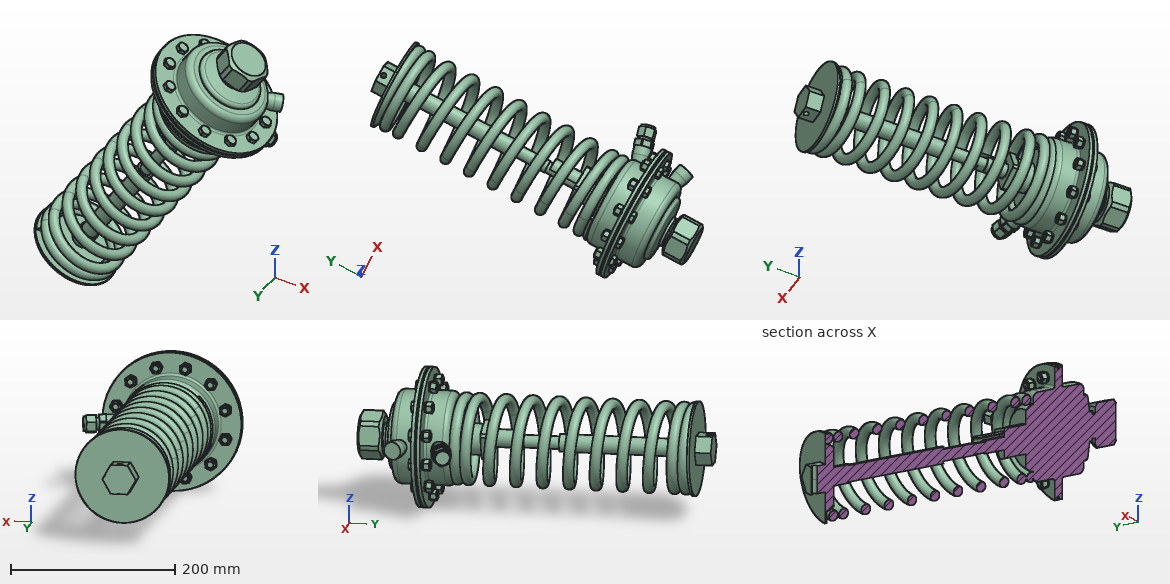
import cadquery as cq
import math


housing_dia = 116.0
housing_half_length = 36.5
housing_edge_radius = 8.0
flange_dia = 172.0
flange_thickness = 4.5
diaphragm_dia = 165.0
diaphragm_thickness = 2.0
flange_face = diaphragm_thickness / 2 + flange_thickness
flange_root_radius = 3.0

bolt_count = 12
bolt_circle_dia = 140.0
bolt_dia = 8.0
bolt_tip = 16.4
bolt_across_flats = 13.0
bolt_corner_dia = 15.0
bolt_end_dia = 12.6
bolt_chamfer = 0.8
bolt_head_height = 5.1
washer_dia = 12.0
washer_thickness = 2.0
bolt_nut_height = 7.7

hex_turn = 10.0
hex_sides = 6

cover_dia = 85.0
cover_edge_radius = 4.5
cover_shoulder = -42.5
collar_dia = 38.5
collar_start = -45.0
collar_end = -48.9
neck_dia = 32.0
union_nut_start = -52.3
union_nut_end = -82.58
union_nut_across_flats = 55.0
union_nut_corner_dia = 60.0
union_nut_end_dia = 48.0
union_nut_chamfer = 3.6

adjuster_top = 353.7
adjuster_length = 20.0
adjuster_across_flats = 36.0
pin_hole_dia = 6.5
pin_hole_depth_from_top = 5.7
plate_dia = 116.0
plate_thickness = 3.0
plate_top = adjuster_top - adjuster_length
plate_face = plate_top - plate_thickness
locating_disc_dia = 86.0
locating_disc_rim_height = 3.4
locating_disc_end_dia = 75.0
locating_disc_height = 10.5

stem_collar_dia = 24.5
stem_collar_end = 299.0
upper_stem_dia = 22.0
upper_stem_end = 164.0
middle_stem_dia = 16.0
middle_stem_end = 120.0
groove_dia = 14.5
groove_end = 105.0
lower_stem_dia = 17.4

guide_dia = 38.5
square_nut_sides = 4
square_nut_start = 69.0
square_nut_end = 77.4
square_nut_across_flats = 37.0
square_nut_corner_dia = 48.0
square_nut_corner_angle = 24.6
sleeve_dia = 22.0
sleeve_slot = 18.0
sleeve_end = 115.0
sleeve_offset_x = 2.5
sleeve_offset_z = 3.3

wire_dia = 13.5
coil_dia = 100.0
closed_pitch = 13.6
open_pitch = 32.9
spring_turns = 11.125
spring_start = 331.7
first_closed_turns = 1.5
last_open_turn = 9.1
blend_turns = 0.5
points_per_turn = 12
spring_pieces = 11

fitting_tilt = 15.0
fitting_axis_offset = 9.4
nipple_start = 45.0
socket_start = 68.8
socket_end = 79.6
nipple_root_dia = 14.5
socket_dia = 22.0
fitting_hex_end = 88.0
fitting_hex_across_flats = 22.0
fitting_hex_corner_dia = 24.5
tube_dia = 14.5
cap_start = 91.8
cap_hex_end = 104.2
cap_end = 107.04
cap_across_flats = 20.0
cap_corner_dia = 23.1
cap_hex_end_dia = 20.0
cap_chamfer = 0.9
cap_rim_dia = 18.0


def cylinder(diameter, y_start, y_end, x=0.0, z=0.0):
    """Round bar parallel to Y."""
    return cq.Workplane("XZ", origin=(x, y_start, z)).circle(diameter / 2).extrude(y_start - y_end)


def turned_around_y(points):
    """Solid of revolution about Y from (radius, y) points, closed along the axis."""
    return cq.Workplane("XY").polyline(points).close().revolve(360, (0, 0), (0, 1))


def axis_plane(y, x=0.0, z=0.0):
    """Plane facing -Y whose local x and y are X and Z."""
    return cq.Plane(origin=(x, y, z), xDir=(1, 0, 0), normal=(0, -1, 0))


def turned_prism(plane, sides, across_flats, length, corner_dia, corner_angle,
                 end_dia=None, chamfer=0.0, both_ends=False):
    """Polygonal nut along the plane's normal, its corners turned round and its end chamfered."""
    circumscribed_dia = across_flats / math.cos(math.pi / sides)
    prism = (
        cq.Workplane(plane)
        .transformed(rotate=(0, 0, corner_angle))
        .polygon(sides, circumscribed_dia)
        .extrude(length)
    )
    corner_radius = corner_dia / 2
    end_radius = (end_dia or corner_dia) / 2
    outline = [(0, 0)]
    if both_ends:
        outline += [(end_radius, 0), (corner_radius, chamfer)]
    else:
        outline += [(corner_radius, 0)]
    outline += [(corner_radius, length - chamfer)]
    if chamfer:
        outline += [(end_radius, length)]
    outline += [(0, length)]
    side_plane = cq.Plane(origin=plane.origin, xDir=plane.xDir, normal=plane.yDir * -1)
    envelope = cq.Workplane(side_plane).polyline(outline).close().revolve(360, (0, 0), (0, 1))
    return prism.intersect(envelope)


def make_pot():
    """Housing half on the +Y side, with its flange."""
    radius = housing_dia / 2
    root = flange_root_radius
    edge = housing_edge_radius
    return (
        cq.Workplane("XY")
        .moveTo(0, 0)
        .lineTo(diaphragm_dia / 2, 0)
        .lineTo(diaphragm_dia / 2, diaphragm_thickness / 2)
        .lineTo(flange_dia / 2, diaphragm_thickness / 2)
        .lineTo(flange_dia / 2, flange_face)
        .lineTo(radius + root, flange_face)
        .radiusArc((radius, flange_face + root), root)
        .lineTo(radius, housing_half_length - edge)
        .radiusArc((radius - edge, housing_half_length), -edge)
        .lineTo(0, housing_half_length)
        .close()
        .revolve(360, (0, 0), (0, 1))
    )


def make_housing():
    """Both pots, with the spring's lower locating disc."""
    pot = make_pot()
    return pot.union(pot.mirror("XZ")).union(make_locating_disc(housing_half_length, 1))


def make_bolt(angle):
    """Bolt with head, washer and nut at an angle about the axis."""
    x = bolt_circle_dia / 2 * math.cos(math.radians(angle))
    z = bolt_circle_dia / 2 * math.sin(math.radians(angle))
    corner_angle = angle - 2 * hex_turn
    shank = cylinder(bolt_dia, 0, bolt_tip, x, z)
    washer = cylinder(washer_dia, 0, flange_face + washer_thickness, x, z)
    head = turned_prism(axis_plane(0, x, z), hex_sides, bolt_across_flats, flange_face + bolt_head_height,
                        bolt_corner_dia, corner_angle, bolt_end_dia, bolt_chamfer)
    nut_top = flange_face + washer_thickness + bolt_nut_height
    nut = turned_prism(axis_plane(nut_top, x, z), hex_sides, bolt_across_flats, bolt_nut_height,
                       bolt_corner_dia, corner_angle, bolt_end_dia, bolt_chamfer, both_ends=True)
    return shank.union(washer).union(head).union(nut)


def make_front_end():
    """Cover, collar, neck and union nut on the -Y side."""
    cover_radius = cover_dia / 2
    edge = cover_edge_radius
    cover = (
        cq.Workplane("XY")
        .moveTo(0, 0)
        .lineTo(cover_radius, 0)
        .lineTo(cover_radius, cover_shoulder + edge)
        .radiusArc((cover_radius - edge, cover_shoulder), edge)
        .lineTo(collar_dia / 2, collar_start)
        .lineTo(collar_dia / 2, collar_end)
        .lineTo(neck_dia / 2, collar_end)
        .lineTo(neck_dia / 2, union_nut_start)
        .lineTo(0, union_nut_start)
        .close()
        .revolve(360, (0, 0), (0, 1))
    )
    nut = turned_prism(axis_plane(union_nut_start), hex_sides, union_nut_across_flats,
                       union_nut_start - union_nut_end, union_nut_corner_dia, 90 + hex_turn,
                       union_nut_end_dia, union_nut_chamfer, both_ends=True)
    return cover.union(nut)


def make_locating_disc(seat, direction):
    """Bevelled disc inside the spring; direction is +1 or -1 along Y from its seat."""
    return turned_around_y([
        (0, seat),
        (locating_disc_dia / 2, seat),
        (locating_disc_dia / 2, seat + direction * locating_disc_rim_height),
        (locating_disc_end_dia / 2, seat + direction * locating_disc_height),
        (0, seat + direction * locating_disc_height),
    ])


def make_adjuster():
    """Adjusting hex with its cross hole, and the spring plate."""
    hexagon = (
        cq.Workplane(axis_plane(adjuster_top))
        .polygon(hex_sides, adjuster_across_flats / math.cos(math.pi / hex_sides))
        .extrude(adjuster_length)
    )
    pin_hole = (
        cq.Workplane("XY", origin=(0, adjuster_top - pin_hole_depth_from_top, 0))
        .circle(pin_hole_dia / 2)
        .extrude(adjuster_across_flats, both=True)
    )
    plate = cylinder(plate_dia, plate_top, plate_face)
    return hexagon.cut(pin_hole).union(plate).union(make_locating_disc(plate_face, -1))


def make_stem():
    """Stepped stem from the spring plate to the square nut."""
    steps = [
        (stem_collar_dia, stem_collar_end),
        (upper_stem_dia, upper_stem_end),
        (middle_stem_dia, middle_stem_end),
        (groove_dia, groove_end),
        (lower_stem_dia, square_nut_start),
    ]
    outline = [(0, plate_top)]
    y = plate_top
    for diameter, step_end in steps:
        outline += [(diameter / 2, y), (diameter / 2, step_end)]
        y = step_end
    outline += [(0, y)]
    return turned_around_y(outline)


def make_guide():
    """Neck and square nut, with a U-shaped sleeve open toward -X."""
    neck = cylinder(guide_dia, 0, square_nut_start)
    nut = turned_prism(axis_plane(square_nut_end), square_nut_sides, square_nut_across_flats,
                       square_nut_end - square_nut_start, square_nut_corner_dia,
                       square_nut_corner_angle)
    sleeve = cylinder(sleeve_dia, square_nut_start, sleeve_end, sleeve_offset_x, sleeve_offset_z)
    bore = cylinder(sleeve_slot, sleeve_end, square_nut_end, sleeve_offset_x, sleeve_offset_z)
    slot_depth = sleeve_dia / 2
    slot = (
        cq.Workplane("XZ", origin=(sleeve_offset_x - slot_depth / 2, sleeve_end, sleeve_offset_z))
        .rect(slot_depth, sleeve_slot)
        .extrude(sleeve_end - square_nut_end)
    )
    return neck.union(nut).union(sleeve.cut(bore).cut(slot))


def blended_distance(turn):
    """Turns counted as open pitch after a blend that starts at turn zero."""
    if turn <= 0:
        return 0.0
    if turn < blend_turns:
        return turn ** 2 / (2 * blend_turns)
    return turn - blend_turns / 2


def spring_point(turn):
    """Wire centre: starts at -X and turns through +Z while moving toward -Y."""
    open_turns = blended_distance(turn - first_closed_turns) - blended_distance(turn - last_open_turn)
    y = spring_start - closed_pitch * turn - (open_pitch - closed_pitch) * open_turns
    angle = math.pi - 2 * math.pi * turn
    return cq.Vector(coil_dia / 2 * math.cos(angle), y, coil_dia / 2 * math.sin(angle))


def make_spring():
    """Spring wire, ground flat where it rests on the plate and on the housing."""
    point_count = round(spring_turns * points_per_turn)
    turns = [spring_turns * i / point_count for i in range(point_count + 1)]
    path_points = [spring_point(turn) for turn in turns]
    centre_line = cq.Edge.makeSpline(path_points, parameters=turns)
    piece = spring_turns / spring_pieces
    path = cq.Workplane(cq.Wire.assembleEdges(
        [centre_line.trim(i * piece, (i + 1) * piece) for i in range(spring_pieces)]
    ))
    wire_start = cq.Plane(origin=path_points[0], xDir=(1, 0, 0), normal=(0, 0, 1))
    section = cq.Workplane(wire_start).circle(wire_dia / 2)
    wire = section.sweep(path, isFrenet=True, transition="transformed")
    bench_dia = coil_dia + 2 * wire_dia
    ground_top = cylinder(bench_dia, plate_face + wire_dia, plate_face)
    ground_bottom = cylinder(bench_dia, housing_half_length, housing_half_length - wire_dia)
    return wire.cut(ground_top).cut(ground_bottom)


def fitting_plane(distance):
    """Plane across the fitting axis; its local x points away from the flange, its local y along +Z."""
    tilt = math.radians(fitting_tilt)
    direction = cq.Vector(math.cos(tilt), math.sin(tilt), 0)
    origin = cq.Vector(0, fitting_axis_offset, 0) + direction * distance
    return cq.Plane(origin=origin, xDir=(-math.sin(tilt), math.cos(tilt), 0), normal=direction)


def make_socket():
    """Tapered nipple with a round socket, on the +Y pot."""
    nipple = (
        cq.Workplane(fitting_plane(nipple_start))
        .circle(nipple_root_dia / 2)
        .workplane(offset=socket_start - nipple_start)
        .circle(socket_dia / 2)
        .loft()
    )
    socket_length = socket_end - socket_start
    socket = cq.Workplane(fitting_plane(socket_start)).circle(socket_dia / 2).extrude(socket_length)
    return nipple.union(socket)


def make_cap():
    """Hex, tube and cap nut on the end of a socket."""
    corner_angle = 90 - hex_turn
    hexagon = turned_prism(fitting_plane(socket_end), hex_sides, fitting_hex_across_flats,
                           fitting_hex_end - socket_end, fitting_hex_corner_dia, corner_angle)
    tube = cq.Workplane(fitting_plane(socket_end)).circle(tube_dia / 2).extrude(cap_start - socket_end)
    cap = turned_prism(fitting_plane(cap_start), hex_sides, cap_across_flats, cap_hex_end - cap_start,
                       cap_corner_dia, corner_angle, cap_hex_end_dia, cap_chamfer)
    rim = cq.Workplane(fitting_plane(cap_hex_end)).circle(cap_rim_dia / 2).extrude(cap_end - cap_hex_end)
    return hexagon.union(tube).union(cap).union(rim)


result = make_housing().union(make_adjuster()).union(make_stem()).union(make_guide())
result = result.union(make_spring()).union(make_front_end())
socket = make_socket()
result = result.union(socket).union(socket.mirror("XZ")).union(make_cap())
for bolt in range(bolt_count):
    result = result.union(make_bolt((bolt + 0.5) * 360 / bolt_count))